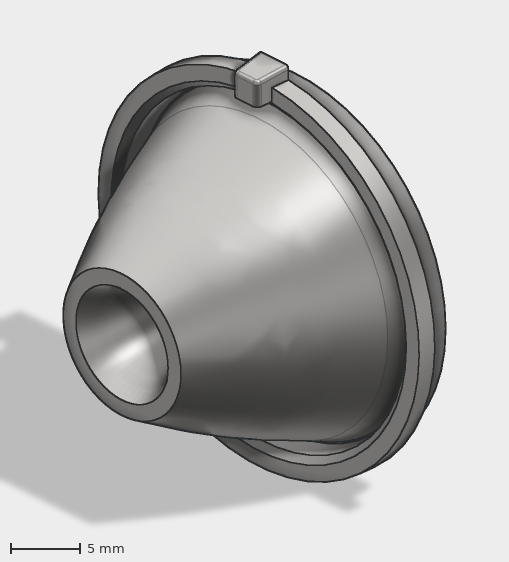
import cadquery as cq


total_length = 17.95
flange_rear = 2.32
flange_front = 3.87
groove_chamfer_depth = 0.5
groove_floor = 1.6

spigot_rear_radius = 15.1
spigot_front_radius = 15.3
flange_rear_radius = 16.26
flange_front_radius = 16.2

groove_mouth_radius = 14.9
groove_wall_radius = 14.33
groove_floor_outer_radius = 14.12
groove_floor_inner_radius = 14.0

cone_base_radius = 13.0
tip_radius = 5.95
cone_bulge = 0.4

cavity_mouth_radius = 4.65
cavity_floor_radius = 2.72
cavity_depth = 5.8
cavity_wall_bulge = 0.4
crown_radius = 1.5
crown_height = 0.2
dimple_depth = 0.9

tab_front = 5.3
tab_rear_width = 2.98
tab_front_width = 2.42
tab_rear_top = 17.4
tab_front_top = 17.1
tab_bottom = 14.95
tab_side_fillet = 0.45
tab_top_fillet = 0.3


def bulged_midpoint(start, end, bulge):
    """Chord midpoint, moved by bulge to the left of the direction start to end."""
    dx = end[0] - start[0]
    dy = end[1] - start[1]
    length = (dx**2 + dy**2) ** 0.5
    middle_x = (start[0] + end[0]) / 2 - bulge * dy / length
    middle_y = (start[1] + end[1]) / 2 + bulge * dx / length
    return (middle_x, middle_y)


def make_lens():
    cone_base = (cone_base_radius, -flange_front)
    cone_tip = (tip_radius, -total_length)
    cavity_mouth = (cavity_mouth_radius, -total_length)
    floor_y = cavity_depth - total_length
    cavity_floor = (cavity_floor_radius, floor_y)
    crown = (crown_radius, floor_y - crown_height)
    dimple = (0, floor_y - crown_height + dimple_depth)
    profile = (
        cq.Workplane("XY")
        .moveTo(0, 0)
        .lineTo(spigot_rear_radius, 0)
        .lineTo(spigot_front_radius, -flange_rear)
        .lineTo(flange_rear_radius, -flange_rear)
        .lineTo(flange_front_radius, -flange_front)
        .lineTo(groove_mouth_radius, -flange_front)
        .lineTo(groove_wall_radius, groove_chamfer_depth - flange_front)
        .lineTo(groove_floor_outer_radius, -groove_floor)
        .lineTo(groove_floor_inner_radius, -groove_floor)
        .lineTo(*cone_base)
        .threePointArc(bulged_midpoint(cone_base, cone_tip, cone_bulge), cone_tip)
        .lineTo(*cavity_mouth)
        .threePointArc(bulged_midpoint(cavity_mouth, cavity_floor, cavity_wall_bulge), cavity_floor)
        .spline([crown, dimple], includeCurrent=True)
        .close()
    )
    return profile.revolve(360, (0, 0, 0), (0, 1, 0))


def make_tab():
    rear_height = tab_rear_top - tab_bottom
    front_height = tab_front_top - tab_bottom
    tab = (
        cq.Workplane("XZ", origin=(0, -flange_rear, 0))
        .center(0, tab_bottom + rear_height / 2)
        .rect(tab_rear_width, rear_height)
        .workplane(offset=tab_front - flange_rear)
        .center(0, (front_height - rear_height) / 2)
        .rect(tab_front_width, front_height)
        .loft(ruled=True)
    )
    tab = tab.faces("<Y").edges("|Z").fillet(tab_side_fillet)
    return tab.faces(">Z").edges("not(>Y)").fillet(tab_top_fillet)


result = make_lens().union(make_tab())